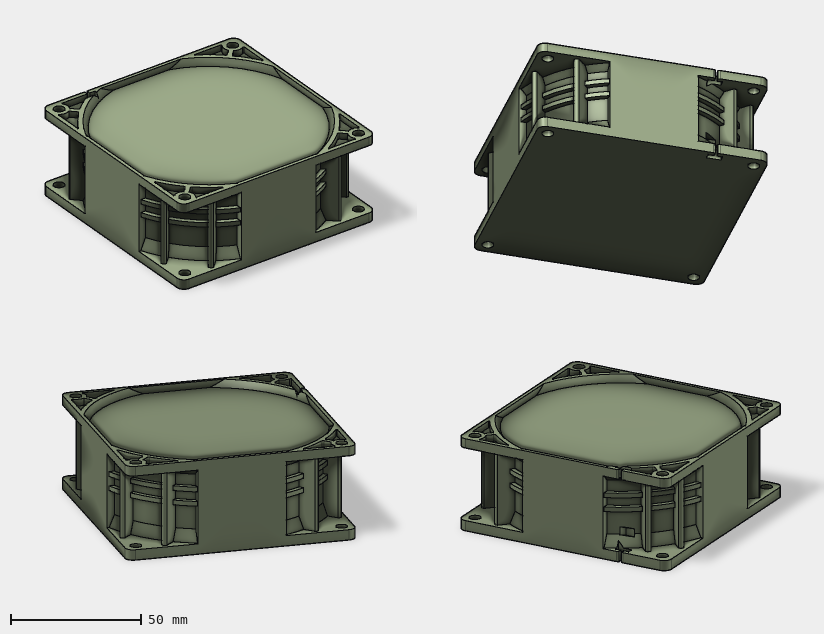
import cadquery as cq

SIZE = 92.0
HALF = SIZE / 2
HEIGHT = 38.1
CORNER_RADIUS = 3.2
LOWER_FLANGE = 4.2
UPPER_FLANGE = 3.9
UPPER_FLANGE_Z = HEIGHT - UPPER_FLANGE
SIDE_WALL_HALF_WIDTH = 17.7

HUB_RADIUS = 46.4
FLARE_RADIUS = 48.4
LOWER_FLARE_HEIGHT = 5.1
UPPER_FLARE_HEIGHT = 2.7
HOOP_HEIGHT = 1.9
HOOP_BOTTOMS = (19.2, 25.0)

RECESS_DEPTH = 2.85
RECESS_HALF_WIDTH = 44.4

HOLE_OFFSET = 41.2
HOLE_DIAMETER = 4.5
HOLE_BOSS_RADIUS = 4.1
HOLE_BOSS_FLAT = 37.7
POCKET_DEPTH = 2.8
POCKET_INNER = 25.2
POCKET_OUTER = 44.1
POCKET_ARC_RADIUS = 50.4
POCKET_RIB_WIDTH = 2.0
POCKET_CORNER_RADIUS = 0.7
POCKET_TIP_MARGIN = 1.8

FIN_WIDTH = 2.2
FIN_ROOT_DEPTH = 7.4
FIN_ROOT = HUB_RADIUS - FIN_ROOT_DEPTH
FIN_TIP = 53.0
FIN_TIP_BULGE = 0.6
FIN_OFFSET = 9.2
WIRE_FIN_OFFSET = 4.0

WIRE_BOX_X = (-44.1, -41.8)
WIRE_BOX_Y = (-28.0, -22.2)
WIRE_SLOT_Y = (-25.7, -24.6)
SLOT_MOUTH_DEPTH = 0.2
SLOT_MOUTH_FLARE = 0.8

NICHE_BACK_X = -37.7
NICHE_FRONT_X = -43.2
NICHE_Y = (-27.05, -23.2)
NICHE_Z = (8.0, 11.3)
NICHE_SLOPE = 0.33

CORNER_ANGLES = (45, 135, 225, 315)
WIRE_CORNER_ANGLE = 225


def block(x_range, y_range, z_range):
    """Box spanning the given ranges."""
    return (
        cq.Workplane("XY")
        .box(
            x_range[1] - x_range[0],
            y_range[1] - y_range[0],
            z_range[1] - z_range[0],
            centered=False,
        )
        .translate((x_range[0], y_range[0], z_range[0]))
    )


def disc(radius, z, height):
    return cq.Workplane("XY").workplane(offset=z).circle(radius).extrude(height)


def frame_block():
    return (
        cq.Workplane("XY")
        .rect(SIZE, SIZE)
        .extrude(HEIGHT)
        .edges("|Z")
        .fillet(CORNER_RADIUS)
    )


def corner_windows():
    """Openings between the flanges at the four corners."""
    windows = cq.Workplane("XY")
    span = (SIDE_WALL_HALF_WIDTH, HALF)
    window = block(span, span, (LOWER_FLANGE, UPPER_FLANGE_Z))
    for angle in (0, 90, 180, 270):
        windows = windows.add(window.rotate((0, 0, 0), (0, 0, 1), angle))
    return windows.combine()


def hub():
    """Drum that flares out to both flanges and carries two hoops."""
    profile = [
        (0, LOWER_FLANGE),
        (FLARE_RADIUS, LOWER_FLANGE),
        (HUB_RADIUS, LOWER_FLANGE + LOWER_FLARE_HEIGHT),
        (HUB_RADIUS, UPPER_FLANGE_Z - UPPER_FLARE_HEIGHT),
        (FLARE_RADIUS, UPPER_FLANGE_Z),
        (0, UPPER_FLANGE_Z),
    ]
    drum = cq.Workplane("XZ").polyline(profile).close().revolve(360, (0, 0, 0), (0, 1, 0))
    for z in HOOP_BOTTOMS:
        drum = drum.union(disc(FLARE_RADIUS, z, HOOP_HEIGHT))
    return drum


def fin(angle, offset):
    """Plate with a bulged tip along a diagonal, shifted sideways by the offset."""
    half_width = FIN_WIDTH / 2
    shoulder = FIN_TIP - FIN_TIP_BULGE
    return (
        cq.Workplane("XY")
        .workplane(offset=LOWER_FLANGE)
        .moveTo(FIN_ROOT, offset - half_width)
        .lineTo(shoulder, offset - half_width)
        .threePointArc((FIN_TIP, offset), (shoulder, offset + half_width))
        .lineTo(FIN_ROOT, offset + half_width)
        .close()
        .extrude(UPPER_FLANGE_Z - LOWER_FLANGE)
        .rotate((0, 0, 0), (0, 0, 1), angle)
    )


def recess():
    """Flared round recess whose sides are cut flat by the rim."""
    floor_z = HEIGHT - RECESS_DEPTH
    cone = (
        cq.Workplane("XY")
        .workplane(offset=floor_z)
        .circle(HUB_RADIUS)
        .workplane(offset=RECESS_DEPTH)
        .circle(FLARE_RADIUS)
        .loft()
    )
    width = (-RECESS_HALF_WIDTH, RECESS_HALF_WIDTH)
    return cone.intersect(block(width, width, (floor_z, HEIGHT)))


def corner_pocket():
    """Pair of pockets in the +X, +Y corner, split by a diagonal rib."""
    floor_z = HEIGHT - POCKET_DEPTH
    span = (POCKET_INNER, POCKET_OUTER)
    rib = (
        cq.Workplane("XY")
        .workplane(offset=floor_z)
        .rect(2 * SIZE, POCKET_RIB_WIDTH)
        .extrude(POCKET_DEPTH)
        .rotate((0, 0, 0), (0, 0, 1), 45)
    )
    boss_corner = block((HOLE_BOSS_FLAT, HALF), (HOLE_BOSS_FLAT, HALF), (floor_z, HEIGHT))
    boss = disc(HOLE_BOSS_RADIUS, floor_z, POCKET_DEPTH).translate((HOLE_OFFSET, HOLE_OFFSET, 0))
    tip_zone = cq.selectors.BoxSelector(
        (POCKET_INNER + POCKET_TIP_MARGIN, POCKET_INNER + POCKET_TIP_MARGIN, 0),
        (HOLE_OFFSET - HOLE_BOSS_RADIUS, HOLE_OFFSET - HOLE_BOSS_RADIUS, HEIGHT),
    )
    return (
        block(span, span, (floor_z, HEIGHT))
        .cut(disc(POCKET_ARC_RADIUS, floor_z, POCKET_DEPTH))
        .cut(rib)
        .cut(boss)
        .cut(boss_corner)
        .edges(tip_zone)
        .edges("|Z")
        .fillet(POCKET_CORNER_RADIUS)
    )


def wire_passage(z, height):
    """Rectangular opening with a slot that leads out through the -X side."""
    slot_low, slot_high = WIRE_SLOT_Y
    mouth_x = -HALF + SLOT_MOUTH_DEPTH
    slot = (
        cq.Workplane("XY")
        .workplane(offset=z)
        .moveTo(WIRE_BOX_X[1], slot_low)
        .lineTo(mouth_x, slot_low)
        .lineTo(-HALF, slot_low - SLOT_MOUTH_FLARE)
        .lineTo(-HALF, slot_high + SLOT_MOUTH_FLARE)
        .lineTo(mouth_x, slot_high)
        .lineTo(WIRE_BOX_X[1], slot_high)
        .close()
        .extrude(height)
    )
    return block(WIRE_BOX_X, WIRE_BOX_Y, (z, z + height)).union(slot)


def wire_niche():
    """Recess whose top, floor and one side slope towards its upright back."""
    rise = NICHE_SLOPE * (NICHE_BACK_X - NICHE_FRONT_X)
    bottom, top = NICHE_Z
    right, left = NICHE_Y
    side_profile = (
        cq.Workplane("XZ")
        .polyline(
            [
                (NICHE_BACK_X, bottom),
                (NICHE_BACK_X, top),
                (NICHE_FRONT_X, top + rise),
                (NICHE_FRONT_X, bottom + rise),
            ]
        )
        .close()
        .extrude(HALF)
    )
    plan = (
        cq.Workplane("XY")
        .polyline(
            [
                (NICHE_BACK_X, right),
                (NICHE_BACK_X, left),
                (NICHE_FRONT_X, left + rise),
                (NICHE_FRONT_X, right),
            ]
        )
        .close()
        .extrude(HEIGHT)
    )
    return side_profile.intersect(plan)


frame = frame_block()
body = frame.cut(corner_windows()).union(hub().intersect(frame))

for angle in CORNER_ANGLES:
    first_offset = WIRE_FIN_OFFSET if angle == WIRE_CORNER_ANGLE else FIN_OFFSET
    body = body.union(fin(angle, -first_offset))
    body = body.union(fin(angle, FIN_OFFSET))

body = body.cut(recess())
for angle in CORNER_ANGLES:
    body = body.cut(corner_pocket().rotate((0, 0, 0), (0, 0, 1), angle - 45))

holes = (
    cq.Workplane("XY")
    .rect(2 * HOLE_OFFSET, 2 * HOLE_OFFSET, forConstruction=True)
    .vertices()
    .circle(HOLE_DIAMETER / 2)
    .extrude(HEIGHT)
)
body = body.cut(holes)

upper_passage_z = UPPER_FLANGE_Z - UPPER_FLARE_HEIGHT
body = body.cut(wire_passage(0, LOWER_FLANGE + LOWER_FLARE_HEIGHT))
body = body.cut(wire_passage(upper_passage_z, HEIGHT - upper_passage_z))
result = body.cut(wire_niche())